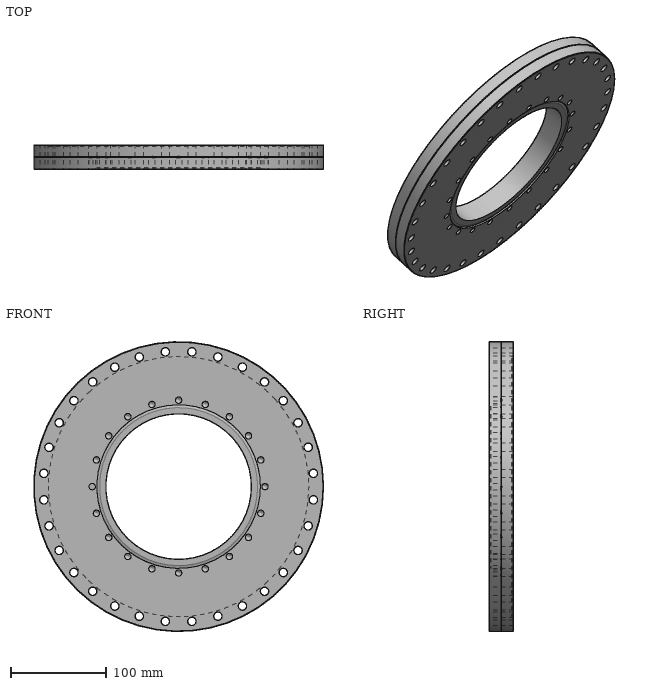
import cadquery as cq
import math

outer_diameter = 304.0
bore_diameter = 152.3
thickness = 25.8
edge_chamfer = 0.5

rim_groove_width = 1.0
rim_groove_depth = 0.3

front_groove_diameter = 171.5
back_groove_diameter = 273.0
seal_groove_width = 2.9
seal_groove_depth = 1.98
seal_lip_drop = 1.15

bolt_count = 32
bolt_diameter = 8.5
bolt_circle_diameter = 284.0

blind_count = 20
blind_diameter = 6.7
blind_circle_diameter = 181.2
blind_depth = 12.2
drill_point_angle = 118.0

outer_radius = outer_diameter / 2
bore_radius = bore_diameter / 2
front_y = -thickness / 2
back_y = thickness / 2


def ring_position(circle_diameter, angle):
    """Point on the front face at the given angle in degrees, measured from +X."""
    radius = circle_diameter / 2
    angle_rad = math.radians(angle)
    return cq.Vector(radius * math.cos(angle_rad), front_y, radius * math.sin(angle_rad))


def flange_body():
    """Revolve the half section, drawn as (radius, y) points, around the Y axis."""
    front_groove_radius = front_groove_diameter / 2
    back_groove_radius = back_groove_diameter / 2
    section = [
        (bore_radius, front_y + seal_lip_drop),
        (front_groove_radius - seal_groove_width, front_y + seal_lip_drop),
        (front_groove_radius, front_y + seal_groove_depth),
        (front_groove_radius, front_y),
        (outer_radius - edge_chamfer, front_y),
        (outer_radius, front_y + edge_chamfer),
        (outer_radius, -rim_groove_width / 2),
        (outer_radius - rim_groove_depth, 0),
        (outer_radius, rim_groove_width / 2),
        (outer_radius, back_y - edge_chamfer),
        (outer_radius - edge_chamfer, back_y),
        (back_groove_radius, back_y),
        (back_groove_radius, back_y - seal_groove_depth),
        (back_groove_radius - seal_groove_width, back_y - seal_lip_drop),
        (bore_radius, back_y - seal_lip_drop),
    ]
    return cq.Workplane("XY").polyline(section).close().revolve(360, (0, 0, 0), (0, 1, 0))


def bolt_hole(angle):
    """Cylinder through the whole thickness."""
    start = ring_position(bolt_circle_diameter, angle)
    return cq.Solid.makeCylinder(bolt_diameter / 2, thickness, start, cq.Vector(0, 1, 0))


def blind_hole(angle, pointed):
    """Cylinder into the front face, with a conical drill point if pointed."""
    radius = blind_diameter / 2
    start = ring_position(blind_circle_diameter, angle)
    inward = cq.Vector(0, 1, 0)
    hole = cq.Solid.makeCylinder(radius, blind_depth, start, inward)
    if not pointed:
        return hole
    point_height = radius / math.tan(math.radians(drill_point_angle / 2))
    point = cq.Solid.makeCone(radius, 0, point_height, start + inward * blind_depth, inward)
    return hole.fuse(point)


result = flange_body()

bolt_step = 360 / bolt_count
for index in range(bolt_count):
    result = result.cut(cq.Workplane(bolt_hole((index + 0.5) * bolt_step)))

blind_step = 360 / blind_count
for index in range(blind_count):
    is_pointed = index != blind_count // 2
    result = result.cut(cq.Workplane(blind_hole(index * blind_step, is_pointed)))